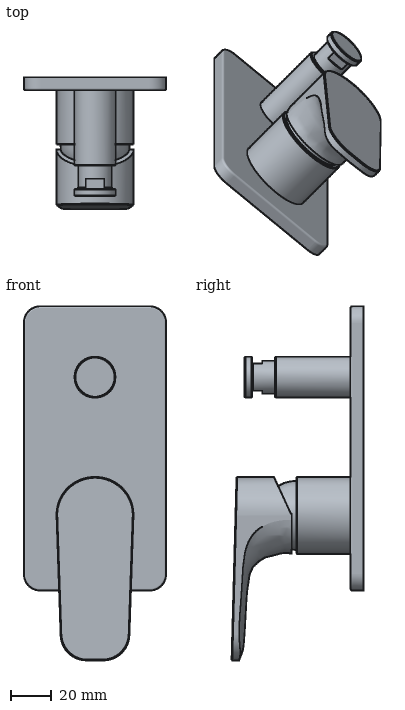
import cadquery as cq
import math

overall_height = 174.2


plate_width = 70.0
plate_height = 140.0
plate_thickness = 6.5
plate_corner_radius = 8.2
plate_edge_break = 1.0

edge_break = 0.5

diverter_z = 35.0
diverter_radius = 10.1
diverter_sleeve_end = 43.5
stem_radius = 8.2
stem_flare = 0.5
flat_distance = 6.8
flat_start = 49.8
button_back = 54.7
button_front = 58.5

mixer_z = -33.0
mixer_radius = 19.0
mixer_sleeve_end = 33.1
dome_radius = 17.0

lever_back = 35.4
lever_top_back = 44.0
lever_tip_front = 65.0
lever_tip_z = plate_height / 2 - overall_height - mixer_z
lever_front_slope = 0.027
lever_tip_half_width = 16.5
lever_tip_rounding = 13.0
belly_side_margin = 0.09
belly_half_width = mixer_radius + belly_side_margin
belly_overlap = 0.9
belly_ribs = [
    ((lever_back, 0.0), (lever_back, -mixer_radius)),
    ((46.3, -2.1), (44.0, -19.5)),
    ((56.0, -10.0), (52.5, -23.3)),
    ((59.8, -26.1), (56.5, -31.4)),
    ((61.3, -47.0), (58.0, -48.8)),
    ((61.9, -62.7), (58.7, -62.7)),
    ((62.4, lever_tip_z), (61.2, lever_tip_z)),
]


def turned(radius, start, end, z):
    """Cylinder along Y between two depths, centred on height z."""
    return cq.Workplane("XZ", origin=(0, -start, z)).circle(radius).extrude(end - start)


def make_plate():
    plate = cq.Workplane("XZ").rect(plate_width, plate_height).extrude(plate_thickness)
    plate = plate.edges("|Y").fillet(plate_corner_radius)
    return plate.faces("<Y").edges().fillet(plate_edge_break)


def make_sleeve(radius, end, z):
    sleeve = turned(radius, plate_thickness, end, z)
    return sleeve.faces("<Y").edges().chamfer(edge_break)


def make_button():
    """Stem flared into a round button, with two wrench flats on the stem."""
    stem_length = button_back - diverter_sleeve_end
    length = button_front - diverter_sleeve_end
    body = (
        cq.Workplane("XY", origin=(0, -diverter_sleeve_end, diverter_z))
        .moveTo(0, 0)
        .lineTo(stem_radius, 0)
        .lineTo(stem_radius, stem_flare - stem_length)
        .lineTo(stem_radius + stem_flare, -stem_length)
        .lineTo(diverter_radius - edge_break, -stem_length)
        .lineTo(diverter_radius, -stem_length - edge_break)
        .lineTo(diverter_radius, edge_break - length)
        .lineTo(diverter_radius - edge_break, -length)
        .lineTo(0, -length)
        .close()
        .revolve(360, (0, 0, 0), (0, 1, 0))
    )
    flat_depth = diverter_radius - flat_distance
    for side in (1, -1):
        flat_z = diverter_z + side * (flat_distance + flat_depth / 2)
        flat_y = -(flat_start + button_back) / 2
        cutter = cq.Workplane("XY").box(2 * diverter_radius, button_back - flat_start, flat_depth)
        body = body.cut(cutter.translate((0, flat_y, flat_z)))
    return body.solids()


def make_dome():
    """Half ball seated on the front of the mixer sleeve."""
    profile = (
        cq.Workplane("XY", origin=(0, -mixer_sleeve_end, mixer_z))
        .moveTo(0, 0)
        .lineTo(dome_radius, 0)
        .radiusArc((0, -dome_radius), dome_radius)
        .close()
    )
    return profile.revolve(360, (0, 0, 0), (0, 1, 0))


def lever_outline():
    """Round head tapering to a rounded tip, as a prism over the full depth."""
    prism = (
        cq.Workplane("XZ", origin=(0, 0, mixer_z))
        .moveTo(-mixer_radius, 0)
        .threePointArc((0, mixer_radius), (mixer_radius, 0))
        .lineTo(lever_tip_half_width, lever_tip_z)
        .lineTo(-lever_tip_half_width, lever_tip_z)
        .close()
        .extrude(lever_tip_front)
    )
    return prism.edges("|Y and <Z").fillet(lever_tip_rounding)


def lever_front(z):
    """Depth of the sloping front face at a height above the mixer axis."""
    return lever_tip_front - lever_front_slope * (z - lever_tip_z)


def lever_core():
    """Side profile of the lever, cut off along the side edges of the belly."""
    edge_points = [(-depth, z) for (depth, z), _ in belly_ribs]
    tip_z = edge_points[-1][1]
    return (
        cq.Workplane("YZ", origin=(-belly_half_width, 0, mixer_z))
        .moveTo(*edge_points[0])
        .spline(edge_points[1:], includeCurrent=True)
        .lineTo(-lever_front(tip_z), tip_z)
        .lineTo(-lever_front(mixer_radius), mixer_radius)
        .lineTo(-lever_top_back, mixer_radius)
        .close()
        .extrude(2 * belly_half_width)
    )


def belly_rib(edge, crown):
    """Arched rib from side to side over the crown, closed a little inside the core."""
    rise = math.dist(edge, crown)
    plane = cq.Plane(
        origin=(0, -edge[0], mixer_z + edge[1]),
        xDir=(1, 0, 0),
        normal=(0, (crown[1] - edge[1]) / rise, (crown[0] - edge[0]) / rise),
    )
    rib = (
        cq.Workplane(plane)
        .moveTo(-belly_half_width, belly_overlap)
        .lineTo(-belly_half_width, 0)
        .threePointArc((0, -rise), (belly_half_width, 0))
        .lineTo(belly_half_width, belly_overlap)
        .close()
    )
    return rib.val()


def lever_belly():
    """Rounded underside that runs from the round head down the blade."""
    ribs = [belly_rib(edge, crown) for edge, crown in belly_ribs]
    return cq.Workplane(cq.Solid.makeLoft(ribs))


def make_lever(dome):
    """Lever with its front edge broken and a seat that fits over the dome."""
    lever = lever_core().union(lever_belly()).intersect(lever_outline())
    lever = lever.faces("<Y").edges().chamfer(edge_break)
    return lever.cut(dome).solids()


plate = make_plate()
diverter_sleeve = make_sleeve(diverter_radius, diverter_sleeve_end, diverter_z)
button = make_button()
mixer_sleeve = make_sleeve(mixer_radius, mixer_sleeve_end, mixer_z)
dome = make_dome()
lever = make_lever(dome)

result = cq.Compound.makeCompound(
    [plate.val(), diverter_sleeve.val(), button.val(), mixer_sleeve.val(), dome.val(), lever.val()]
)